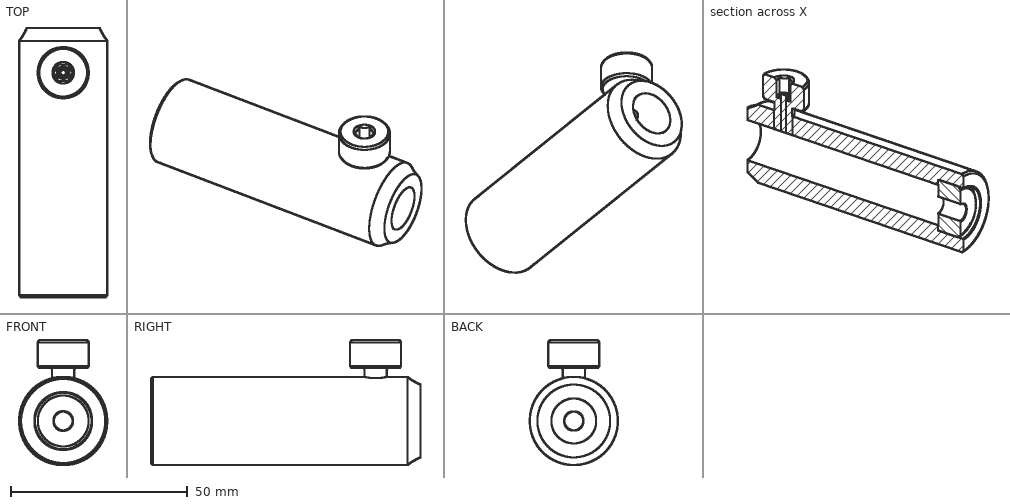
import cadquery as cq
import math


housing_diameter = 25.0
housing_radius = housing_diameter / 2
housing_length = 76.2
base_chamfer = 0.6
nose_length = 3.7
nose_end_radius = 10.3
nose_hollow = 0.15
post_bore_diameter = 12.7

plug_diameter = 16.0
plug_setback = 1.0
plug_length = 8.0
plug_chamfer = 0.8
plug_hole_diameter = 5.3
plug_hole_chamfer = 0.15
plug_end = plug_setback + plug_length
pocket_mouth_chamfer = 0.2

screw_y = housing_length - 12.7
shank_diameter = 6.35
shank_end_z = post_bore_diameter / 2
knob_diameter = 14.5
knob_height = 8.0
knob_chamfer_height = 0.7
knob_chamfer_width = 0.5
neck_fillet = 0.2
overall_height = 35.41
knob_top_z = overall_height - housing_radius
knob_bottom_z = knob_top_z - knob_height

socket_across_flats = 4.76
socket_across_corners = socket_across_flats / math.cos(math.pi / 6)
socket_depth = 6.0
socket_floor_z = knob_top_z - socket_depth
countersink_diameter = 6.1
countersink_depth = (countersink_diameter - socket_across_flats) / 2

collar_diameter = 3.5
collar_height = 1.5
collar_chamfer = 0.5
collar_top_z = socket_floor_z + collar_height
pin_diameter = 1.6


def cylinder_along_y(diameter, start_y, end_y):
    return (
        cq.Workplane("XZ", origin=(0, start_y, 0))
        .circle(diameter / 2)
        .extrude(start_y - end_y)
    )


def cylinder_on_screw_axis(diameter, bottom_z, top_z):
    return (
        cq.Workplane("XY", origin=(0, screw_y, bottom_z))
        .circle(diameter / 2)
        .extrude(top_z - bottom_z)
    )


def make_housing():
    nose_start = (housing_radius, housing_length - nose_length)
    nose_end = (nose_end_radius, housing_length)
    outline = (
        cq.Workplane("XY")
        .lineTo(housing_radius - base_chamfer, 0)
        .lineTo(housing_radius, base_chamfer)
        .lineTo(*nose_start)
        .sagittaArc(nose_end, nose_hollow)
        .lineTo(0, housing_length)
        .close()
    )
    body = outline.revolve(360, (0, 0), (0, 1))
    plug_pocket = cylinder_along_y(plug_diameter, 0, plug_end)
    post_bore = cylinder_along_y(post_bore_diameter, plug_end, housing_length)
    screw_hole = cylinder_on_screw_axis(shank_diameter, 0, housing_radius)
    body = body.cut(plug_pocket).cut(post_bore).cut(screw_hole)
    pocket_mouth = cq.selectors.RadiusNthSelector(0)
    return body.faces("<Y").edges(pocket_mouth).chamfer(pocket_mouth_chamfer)


def make_base_plug():
    body = cylinder_along_y(plug_diameter, plug_setback, plug_end)
    body = body.faces("<Y").edges().chamfer(plug_chamfer)
    body = body.cut(cylinder_along_y(plug_hole_diameter, plug_setback, plug_end))
    hole_mouth = cq.selectors.RadiusNthSelector(0)
    return body.faces("<Y").edges(hole_mouth).chamfer(plug_hole_chamfer)


def make_countersink():
    """Cone at the mouth of the socket, with sides at 45 degrees."""
    mouth_radius = countersink_diameter / 2
    return cq.Workplane(
        cq.Solid.makeCone(
            mouth_radius - countersink_depth,
            mouth_radius,
            countersink_depth,
            cq.Vector(0, screw_y, knob_top_z - countersink_depth),
        )
    )


def make_thumbscrew():
    knob = cylinder_on_screw_axis(knob_diameter, knob_bottom_z, knob_top_z)
    knob = knob.faces("<Z or >Z").edges().chamfer(knob_chamfer_height, knob_chamfer_width)
    shank = cylinder_on_screw_axis(shank_diameter, shank_end_z, knob_bottom_z)
    socket = (
        cq.Workplane("XY", origin=(0, screw_y, socket_floor_z))
        .polygon(6, socket_across_corners)
        .extrude(socket_depth)
    )
    pin_hole = cylinder_on_screw_axis(pin_diameter, shank_end_z, socket_floor_z)
    body = knob.union(shank)
    neck = cq.selectors.RadiusNthSelector(0)
    body = body.faces("<Z[1]").edges(neck).fillet(neck_fillet)
    return body.cut(socket).cut(make_countersink()).cut(pin_hole)


def make_collar():
    body = cylinder_on_screw_axis(collar_diameter, socket_floor_z, collar_top_z)
    body = body.faces(">Z").edges().chamfer(collar_chamfer)
    return body.cut(cylinder_on_screw_axis(pin_diameter, socket_floor_z, collar_top_z))


def make_pin():
    return cylinder_on_screw_axis(pin_diameter, shank_end_z, collar_top_z)


housing = make_housing()
base_plug = make_base_plug()
thumbscrew = make_thumbscrew()
collar = make_collar()
pin = make_pin()

result = cq.Compound.makeCompound(
    [housing.val(), base_plug.val(), thumbscrew.val(), collar.val(), pin.val()]
)